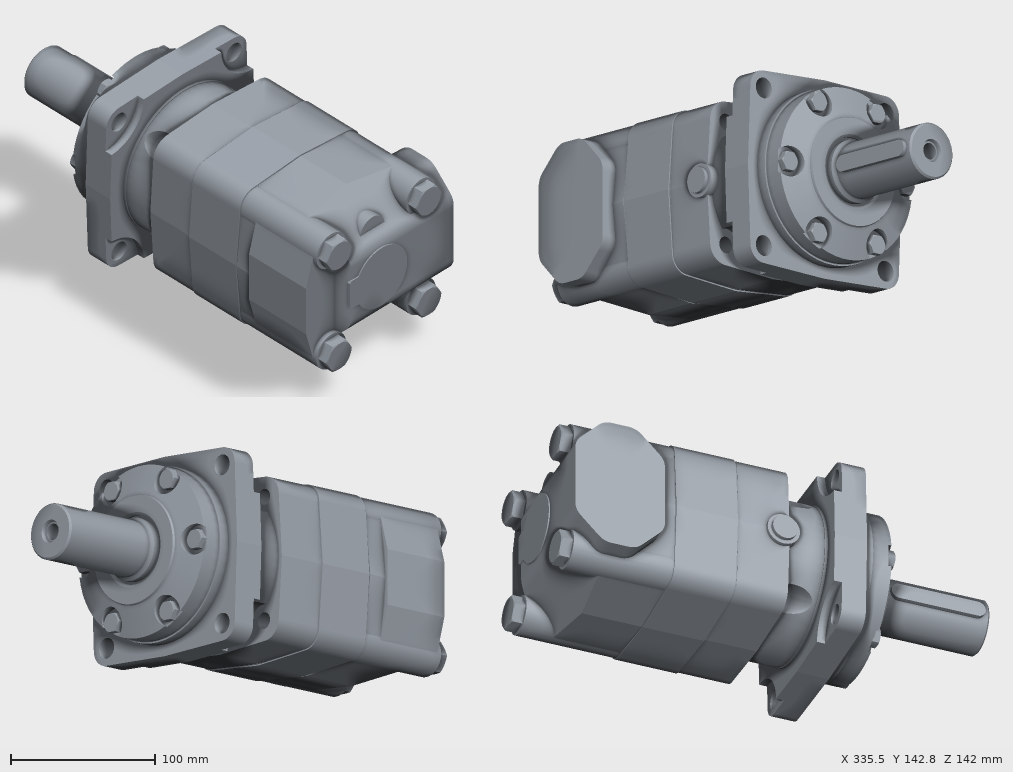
import cadquery as cq
import math


shaft_shoulder_x = 78.0
cover_face_x = 82.2
cover_cone_x = 84.0
cover_rim_x = 90.3
cover_back_x = 104.7
flange_front_x = 112.8
flange_step_x = 131.0
flange_back_x = 137.0
body_front_x = 166.8
gear_front_x = 205.0
gear_back_x = 253.0
bolt_seat_x = 327.2
port_back_x = 331.5
overall_length = 335.5

shaft_diameter = 40.0
shaft_chamfer = 1.5
journal_diameter = 45.0
collar_cone_length = 2.5
center_hole_diameter = 11.7
center_hole_mouth = 16.5
center_hole_floor = 14.5
center_hole_floor_depth = 2.7
center_hole_depth = 20.0
drill_point_slope = math.tan(math.radians(30))
key_width = 11.7
key_length = 70.5
key_start_x = 4.5
key_top_y = 22.8
key_depth = 8.0

cover_diameter = 122.5
cover_face_diameter = 77.0
cover_cone_diameter = 78.2
seal_recess_diameter = 53.0
seal_recess_depth = 1.5
seal_step_diameter = 49.0
seal_step_depth = 2.7
screw_count = 6
screw_circle_radius = 54.0
screw_seat_diameter = 21.8
screw_seat_x = 92.5
screw_head_x = 87.3
screw_across_flats = 13.0

pilot_diameter = 125.2
flange_height = 142.0
flange_half = flange_height / 2
flange_draft = 0.038
flange_corner_radius = 12.5
flange_hole_diameter = 14.8
flange_hole_offset = 56.5
flange_relief_offset = 70.8
flange_relief_radius = 33.0
neck_diameter = 115.0
neck_shoulder_diameter = 116.5
neck_shoulder_length = 2.0

housing_half = 61.5
housing_draft = 0.067
gear_height = 125.2
gear_half = gear_height / 2
gear_draft = 0.078
seam_width = 1.0
seam_depth = 1.0
corner_radius = 14.5
bolt_offset = 44.0
bolt_hole_diameter = 11.7
bolt_across_flats = 22.0

groove_radius = 11.7
groove_nose_length = 17.0
groove_nose_x = 157.7

plug_x = 172.0
drain_boss_diameter = 24.0
drain_seat_y = 60.5
washer_top_y = 63.8
plug_top_y = 66.8
plug_head_diameter = 18.5
plug_thread_diameter = 13.0
plug_thread_depth = 13.5

end_edge_offset = 42.3
end_edge_half = 58.0
port_half_height = 50.5
port_front_x = 264.5
port_chamfer = 21.5
port_corner_radius = 13.8
port_face_y = 71.8
pad_front_x = 267.5
pad_back_x = 323.5
pad_half_height = 44.0
pad_flat_half = 19.8
pad_face_y = 65.0
pad_edge_y = 58.5
pad_root_y = 36.2
valve_boss_diameter = 24.0
valve_boss_z = 35.2
rear_disc_diameter = 50.5
rear_disc_thickness = 1.0
rear_boss_height = 24.0
rear_boss_reach = 31.0
rear_boss_chamfer = 1.7


def axial_plane(x):
    """Plane across the shaft axis: local x is +Y, local y is +Z, extrusion runs along +X."""
    return cq.Workplane("YZ", origin=(x, 0, 0))


def disc(start_x, end_x, diameter, y=0.0, z=0.0):
    """Cylinder parallel to the shaft axis."""
    return axial_plane(start_x).center(y, z).circle(diameter / 2).extrude(end_x - start_x)


def drain_disc(start_y, end_y, diameter):
    """Cylinder on the drain axis, which runs along Y."""
    drain_plane = cq.Workplane("XZ", origin=(plug_x, start_y, 0))
    return drain_plane.circle(diameter / 2).extrude(start_y - end_y)


def corner_points(offset):
    return [(y, z) for y in (-offset, offset) for z in (-offset, offset)]


def crowned_square(start_x, end_x, half, draft, radius):
    """Square prism whose sides rise to a low ridge in the middle, with rounded corners."""
    corner = half / (1 + draft)
    outline = [
        (half, 0), (corner, corner), (0, half), (-corner, corner),
        (-half, 0), (-corner, -corner), (0, -half), (corner, -corner),
    ]
    prism = axial_plane(start_x).polyline(outline).close().extrude(end_x - start_x)
    ridge_clearance = corner / 2
    corner_edges = prism.edges("|X").filter(
        lambda edge: min(abs(edge.Center().y), abs(edge.Center().z)) > ridge_clearance
    )
    return corner_edges.fillet(radius)


def hex_head(seat_x, top_x, across_flats, y, z):
    """Hexagon head with corners at +Y and -Y, turned down to a cone at its top."""
    across_corners = across_flats / math.cos(math.radians(30))
    height = abs(top_x - seat_x)
    rim_width = (across_corners - across_flats) / 2
    rim_drop = rim_width * math.tan(math.radians(30))
    prism = axial_plane(0).polygon(6, across_corners).extrude(height)
    turned_blank = disc(0, height, across_corners).faces(">X").chamfer(rim_drop, rim_width)
    head = prism.intersect(turned_blank)
    if top_x < seat_x:
        head = head.mirror("YZ")
    return head.translate((seat_x, y, z))


def make_key():
    key_plane = cq.Workplane("XZ", origin=(key_start_x + key_length / 2, key_top_y, 0))
    return key_plane.slot2D(key_length, key_width).extrude(key_depth)


def make_shaft():
    tip_depth = center_hole_depth + center_hole_diameter / 2 * drill_point_slope
    shaft_radius = shaft_diameter / 2
    half_section = [
        (tip_depth, 0),
        (center_hole_depth, center_hole_diameter / 2),
        (center_hole_floor_depth, center_hole_diameter / 2),
        (center_hole_floor_depth, center_hole_floor / 2),
        (0, center_hole_mouth / 2),
        (0, shaft_radius - shaft_chamfer),
        (shaft_chamfer, shaft_radius),
        (shaft_shoulder_x, shaft_radius),
        (shaft_shoulder_x + collar_cone_length, journal_diameter / 2),
        (body_front_x, journal_diameter / 2),
        (body_front_x, 0),
    ]
    solid = cq.Workplane("XY").polyline(half_section).close().revolve(360, (0, 0, 0), (1, 0, 0))
    return solid.cut(make_key())


def make_front_cover():
    half_section = [
        (cover_face_x, seal_recess_diameter / 2),
        (cover_face_x, cover_face_diameter / 2),
        (cover_cone_x, cover_cone_diameter / 2),
        (cover_rim_x, cover_diameter / 2),
        (cover_back_x, cover_diameter / 2),
        (cover_back_x, journal_diameter / 2),
        (cover_face_x + seal_step_depth, journal_diameter / 2),
        (cover_face_x + seal_step_depth, seal_step_diameter / 2),
        (cover_face_x + seal_recess_depth, seal_step_diameter / 2),
    ]
    cover = cq.Workplane("XY").polyline(half_section).close().revolve(360, (0, 0, 0), (1, 0, 0))
    for i in range(screw_count):
        angle = 2 * math.pi * i / screw_count
        y = screw_circle_radius * math.cos(angle)
        z = screw_circle_radius * math.sin(angle)
        cover = cover.cut(disc(cover_face_x, screw_seat_x, screw_seat_diameter, y, z))
        cover = cover.union(hex_head(screw_seat_x, screw_head_x, screw_across_flats, y, z))
    return cover


def make_flange():
    flange = crowned_square(
        flange_front_x, flange_back_x, flange_half, flange_draft, flange_corner_radius
    )
    for y, z in corner_points(flange_relief_offset):
        flange = flange.cut(disc(flange_step_x, flange_back_x, 2 * flange_relief_radius, y, z))
    for y, z in corner_points(flange_hole_offset):
        flange = flange.cut(disc(flange_front_x, flange_back_x, flange_hole_diameter, y, z))
    return flange


def groove_cutter(y, z):
    """Round cutter along X with an elliptical nose pointing at the flange."""
    cutter = (
        cq.Workplane("XY")
        .moveTo(groove_nose_x, groove_radius)
        .ellipseArc(groove_nose_length, groove_radius, 90, 180)
        .lineTo(body_front_x, 0)
        .lineTo(body_front_x, groove_radius)
        .close()
        .revolve(360, (0, 0, 0), (1, 0, 0))
    )
    return cutter.translate((0, y, z))


def make_housing():
    neck = disc(flange_back_x, body_front_x, neck_diameter)
    shoulder_end_x = flange_back_x + neck_shoulder_length
    neck = neck.union(disc(flange_back_x, shoulder_end_x, neck_shoulder_diameter))
    for y, z in corner_points(bolt_offset):
        neck = neck.cut(groove_cutter(y, z))

    body = crowned_square(body_front_x, gear_front_x, housing_half, housing_draft, corner_radius)
    for y, z in corner_points(bolt_offset):
        body = body.cut(disc(body_front_x, gear_front_x, bolt_hole_diameter, y, z))

    housing = disc(cover_back_x, flange_front_x, pilot_diameter)
    housing = housing.union(make_flange()).union(neck).union(body)
    housing = housing.union(drain_disc(bolt_offset, drain_seat_y, drain_boss_diameter))
    housing = housing.cut(drain_disc(drain_seat_y, plug_top_y, drain_boss_diameter))
    thread_end_y = drain_seat_y - plug_thread_depth
    housing = housing.cut(drain_disc(thread_end_y, drain_seat_y, plug_thread_diameter))
    return housing.cut(disc(cover_back_x, body_front_x, journal_diameter))


def make_drain_washer():
    washer = drain_disc(drain_seat_y, washer_top_y, drain_boss_diameter)
    return washer.cut(drain_disc(drain_seat_y, washer_top_y, plug_thread_diameter))


def make_drain_plug():
    thread = drain_disc(drain_seat_y - plug_thread_depth, washer_top_y, plug_thread_diameter)
    return thread.union(drain_disc(washer_top_y, plug_top_y, plug_head_diameter))


def make_gear_set():
    """Gear ring with a slightly smaller step at each end, which leaves a fine seam groove."""
    ring_front_x = gear_front_x + seam_width
    ring_back_x = gear_back_x - seam_width
    ring = crowned_square(ring_front_x, ring_back_x, gear_half, gear_draft, corner_radius)
    step_half = gear_half - seam_depth
    step_radius = corner_radius - seam_depth
    steps = crowned_square(gear_front_x, gear_back_x, step_half, gear_draft, step_radius)
    return ring.union(steps)


def make_port_block():
    """Octagonal block with rounded corners that ends in the port face on the +Y side."""
    width = port_back_x - port_front_x
    return (
        cq.Workplane("XY")
        .box(width, port_face_y, 2 * port_half_height, centered=(False, False, True))
        .translate((port_front_x, 0, 0))
        .edges("|Y").chamfer(port_chamfer)
        .edges("|Y").fillet(port_corner_radius)
    )


def make_end_core():
    """Crowned square with its three open sides cut off at 45 degrees toward the rear."""
    edge = end_edge_offset
    half = end_edge_half
    outline = [
        (gear_half, 0), (half, edge), (edge, half), (0, gear_half),
        (-edge, half), (-half, edge), (-gear_half, 0), (-half, -edge),
        (-edge, -half), (0, -gear_half), (edge, -half), (half, -edge),
    ]
    core = axial_plane(gear_back_x).polyline(outline).close().extrude(port_back_x - gear_back_x)

    slope_end = port_half_height - port_chamfer
    slope_start_x = port_back_x - (gear_half - slope_end)
    side_profile = [
        (gear_back_x, -gear_half), (slope_start_x, -gear_half), (port_back_x, -slope_end),
        (port_back_x, slope_end), (slope_start_x, gear_half), (gear_back_x, gear_half),
    ]
    top_bottom = cq.Workplane("XZ").polyline(side_profile).close().extrude(gear_half, both=True)
    top_bottom = top_bottom.faces(">X").edges("|Y").fillet(port_corner_radius)
    left_slope = (
        cq.Workplane("XY")
        .polyline([
            (slope_start_x, -gear_half), (port_back_x, -gear_half), (port_back_x, -slope_end)
        ])
        .close()
        .extrude(gear_half, both=True)
    )
    return core.intersect(top_bottom).cut(left_slope)


def make_side_pad():
    """Three-faceted pad on the -Y side."""
    outline = [
        (-pad_root_y, -pad_half_height), (-pad_edge_y, -pad_half_height),
        (-pad_face_y, -pad_flat_half), (-pad_face_y, pad_flat_half),
        (-pad_edge_y, pad_half_height), (-pad_root_y, pad_half_height),
    ]
    return axial_plane(pad_front_x).polyline(outline).close().extrude(pad_back_x - pad_front_x)


def make_rear_boss():
    """Low block on the rear face that stands out of the -Y slope."""
    rear_x = port_back_x + rear_disc_thickness
    block = (
        axial_plane(gear_back_x)
        .center(-rear_boss_reach / 2, 0)
        .rect(rear_boss_reach, rear_boss_height)
        .extrude(rear_x - gear_back_x)
    )
    return block.edges("|X and <Y").chamfer(rear_boss_chamfer)


def make_end_cover():
    cover = make_end_core().union(make_port_block()).union(make_side_pad())
    for y, z in corner_points(bolt_offset):
        cover = cover.union(disc(gear_back_x, bolt_seat_x, 2 * corner_radius, y, z))
        cover = cover.union(hex_head(bolt_seat_x, overall_length, bolt_across_flats, y, z))
    cover = cover.union(disc(gear_back_x, pad_back_x, valve_boss_diameter, 0, valve_boss_z))
    rear_disc_x = port_back_x + rear_disc_thickness
    cover = cover.union(disc(gear_back_x, rear_disc_x, rear_disc_diameter))
    return cover.union(make_rear_boss())


shaft = make_shaft()
key = make_key()
front_cover = make_front_cover()
housing = make_housing()
drain_washer = make_drain_washer()
drain_plug = make_drain_plug()
gear_set = make_gear_set()
end_cover = make_end_cover()

result = cq.Compound.makeCompound([
    shaft.val(),
    key.val(),
    front_cover.val(),
    housing.val(),
    drain_washer.val(),
    drain_plug.val(),
    gear_set.val(),
    end_cover.val(),
])